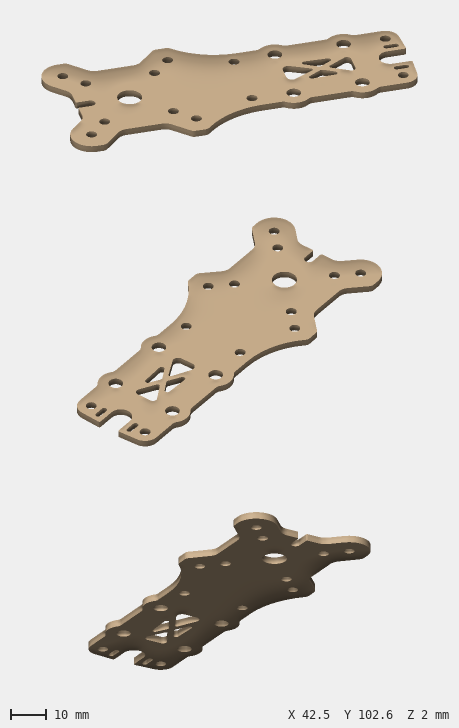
import cadquery as cq
import math

thickness = 2.0
front_y = 81.4
body_half_width = 13.5

arm_pitch = 15.25
controller_pitch = 10.0
standoff_x = 9.5
standoff_ys = (33.0, 77.0)
bulge_x = 10.0
bulge_ys = (45.0, 65.0)
screw_diameter = 3.05
bulge_hole_diameter = 4.1
centre_hole_diameter = 7.0

lobe_radius = 6.0
lobe_edge = arm_pitch + lobe_radius
lobe_shoulder_y = 12.7
shoulder_front_y = 17.0
shoulder_fillet = 1.8
waist_half_width = arm_pitch
waist_y = lobe_shoulder_y - (lobe_edge - waist_half_width)
rear_y = -arm_pitch
inner_fillet = 3.75

flare_corner_y = shoulder_front_y + lobe_edge - body_half_width
flare_radius = 24.5

front_corner_radius = 4.0
front_corner_drop = 0.62
notch_half_width = 3.2
notch_bottom_y = 72.6
notch_lip_radius = 0.5
antenna_slot_x = 5.5
antenna_slot_y = 77.6
antenna_slot_width = 1.6
antenna_slot_length = 4.4

bulge_radius = 5.1
bulge_fillet = 2.0

rear_notch_half_width = 1.35
rear_notch_top_y = -10.0
rear_notch_lip_radius = 0.3

front_window_half_width = 4.3
front_window_y = 65.1
front_window_tip_y = 57.5
front_window_radius = 1.2
rear_window_half_width = 4.5
rear_window_y = 45.1
rear_window_tip_y = 54.0
rear_window_radius = 1.6
window_tip_radius = 0.6
side_window_front_x = 4.1
side_window_front_y = 61.4
side_window_rear_x = 4.55
side_window_rear_y = 49.0
side_window_end_radius = 0.75
side_window_inner_x = 0.75
side_window_inner_y = 55.6
side_window_inner_radius = 1.1


def toward(start, end, distance):
    """Point at a distance from start on the way to end."""
    ratio = distance / math.dist(start, end)
    return tuple(a + (b - a) * ratio for a, b in zip(start, end))


def rounded_polygon(corners):
    """Plate-thick prism over a polygon of (x, y, corner radius)."""
    tolerance = 1e-4
    path = None
    first = None
    last = None
    for i, (x, y, radius) in enumerate(corners):
        corner = (x, y)
        before = corners[i - 1][:2]
        after = corners[(i + 1) % len(corners)][:2]
        start = corner
        if radius > 0:
            to_before = math.atan2(before[1] - y, before[0] - x)
            to_after = math.atan2(after[1] - y, after[0] - x)
            half_angle = abs(math.remainder(to_after - to_before, math.tau)) / 2
            start = toward(corner, before, radius / math.tan(half_angle))
            end = toward(corner, after, radius / math.tan(half_angle))
            chord_middle = tuple((a + b) / 2 for a, b in zip(start, end))
            middle = toward(corner, chord_middle, radius / math.sin(half_angle) - radius)
        if path is None:
            path = cq.Workplane("XY").moveTo(*start)
            first = start
        elif math.dist(last, start) > tolerance:
            path = path.lineTo(*start)
        last = start
        if radius > 0:
            path = path.threePointArc(middle, end)
            last = end
    if math.dist(last, first) > tolerance:
        path = path.close()
    else:
        path = path.wire()
    return path.extrude(thickness)


def mirrored(half):
    """A right-hand shape joined with its left-hand mirror image."""
    return half.union(half.mirror("YZ"))


def round_prisms(points, diameter):
    """Plate-thick cylinders at the given points."""
    return cq.Workplane("XY").pushPoints(points).circle(diameter / 2).extrude(thickness)


def four_points(x, ys):
    """Points at each y, on both sides of the centre line."""
    return [(side * x, y) for side in (-1, 1) for y in ys]


def make_bulge(centre_y):
    """Right-hand bulge: an arc around the hole, blended into the body edge by tangent fillets."""
    edge_offset = body_half_width - bulge_x
    centre_distance = bulge_radius + bulge_fillet
    fillet_y = math.sqrt(centre_distance**2 - (edge_offset + bulge_fillet) ** 2)
    fillet_x = body_half_width + bulge_fillet

    def at(x, offset_y):
        return (x, centre_y + offset_y)

    tangent_x, tangent_y = toward((bulge_x, 0), (fillet_x, fillet_y), bulge_radius)
    chord_middle = ((body_half_width + tangent_x) / 2, (fillet_y + tangent_y) / 2)
    middle_x, middle_y = toward((fillet_x, fillet_y), chord_middle, bulge_fillet)
    return (
        cq.Workplane("XY")
        .moveTo(*at(bulge_x, -fillet_y))
        .lineTo(*at(body_half_width, -fillet_y))
        .threePointArc(at(middle_x, -middle_y), at(tangent_x, -tangent_y))
        .threePointArc((bulge_x + bulge_radius, centre_y), at(tangent_x, tangent_y))
        .threePointArc(at(middle_x, middle_y), at(body_half_width, fillet_y))
        .lineTo(*at(bulge_x, fillet_y))
        .close()
        .extrude(thickness)
    )


def make_outline():
    """Plate blank with both end notches, built as a right half and mirrored."""
    lobe_inner_x = arm_pitch - lobe_radius * math.tan(math.pi / 8)
    rear_corner_x = lobe_inner_x - (lobe_edge + rear_y)
    half = rounded_polygon([
        (0, notch_bottom_y, 0),
        (notch_half_width, notch_bottom_y, notch_half_width),
        (notch_half_width, front_y, notch_lip_radius),
        (body_half_width, front_y - front_corner_drop, front_corner_radius),
        (body_half_width, flare_corner_y, flare_radius),
        (lobe_edge, shoulder_front_y, shoulder_fillet),
        (lobe_edge, lobe_shoulder_y, shoulder_fillet),
        (waist_half_width, waist_y, inner_fillet),
        (waist_half_width, -waist_y, inner_fillet),
        (lobe_edge, -lobe_shoulder_y, shoulder_fillet),
        (lobe_edge, -lobe_edge, lobe_radius),
        (lobe_inner_x, -lobe_edge, lobe_radius),
        (rear_corner_x, rear_y, inner_fillet),
        (rear_notch_half_width, rear_y, rear_notch_lip_radius),
        (rear_notch_half_width, rear_notch_top_y, rear_notch_half_width),
        (0, rear_notch_top_y, 0),
    ])
    for y in bulge_ys:
        half = half.union(make_bulge(y))
    return mirrored(half)


def make_antenna_slots():
    return (
        cq.Workplane("XY")
        .pushPoints([(-antenna_slot_x, antenna_slot_y), (antenna_slot_x, antenna_slot_y)])
        .slot2D(antenna_slot_length, antenna_slot_width, 90)
        .extrude(thickness)
    )


def make_cross_windows():
    """Four windows that leave an X-shaped web."""
    front = rounded_polygon([
        (-front_window_half_width, front_window_y, front_window_radius),
        (front_window_half_width, front_window_y, front_window_radius),
        (0, front_window_tip_y, window_tip_radius),
    ])
    rear = rounded_polygon([
        (-rear_window_half_width, rear_window_y, rear_window_radius),
        (rear_window_half_width, rear_window_y, rear_window_radius),
        (0, rear_window_tip_y, window_tip_radius),
    ])
    side = rounded_polygon([
        (side_window_front_x, side_window_front_y, side_window_end_radius),
        (side_window_rear_x, side_window_rear_y, side_window_end_radius),
        (side_window_inner_x, side_window_inner_y, side_window_inner_radius),
    ])
    return front.union(rear).union(mirrored(side))


def make_holes():
    """All round through holes."""
    screw_points = (
        four_points(arm_pitch, (-arm_pitch, arm_pitch))
        + four_points(controller_pitch, (-controller_pitch, controller_pitch))
        + four_points(standoff_x, standoff_ys)
    )
    screws = round_prisms(screw_points, screw_diameter)
    bulge_holes = round_prisms(four_points(bulge_x, bulge_ys), bulge_hole_diameter)
    centre = round_prisms([(0, 0)], centre_hole_diameter)
    return screws.union(bulge_holes).union(centre)


plate = make_outline()
plate = plate.cut(make_antenna_slots())
plate = plate.cut(make_cross_windows())
plate = plate.cut(make_holes())

result = plate